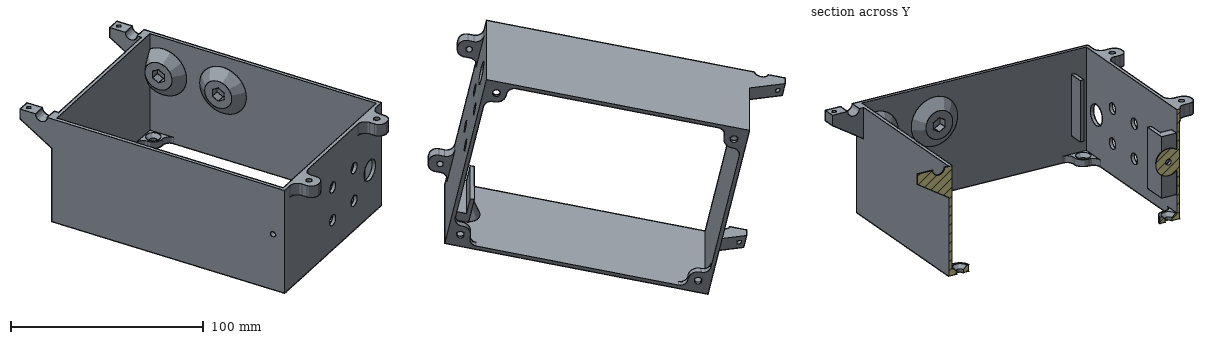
import cadquery as cq
import math

BOX_LENGTH = 140.0
BOX_WIDTH = 100.0
BOX_HEIGHT = 63.0
WALL = 2.0
INNER_RIGHT = BOX_LENGTH - WALL
INNER_BACK = BOX_WIDTH - WALL

ARM_LENGTH = 19.0
ARM_WIDTH = 7.4
ARM_TIP_HEIGHT = 6.0
ARM_ROOT_HEIGHT = 18.0
ARM_NOTCH_DIAMETER = 7.0
ARM_NOTCH_FROM_TIP = 12.8
ARM_HOLE_DIAMETER = 2.4
ARM_HOLE_FROM_TIP = 3.2

TAB_REACH = 12.0
TAB_WIDTH = 10.0
TAB_CORNER_RADIUS = 4.5
TAB_FILLET = 4.5
TAB_HEIGHT = 7.0
TAB_EDGE_DISTANCE = 15.0
TAB_HOLE_DIAMETER = 3.2
TAB_HOLE_REACH = 5.8

LUG_RADIUS = 5.3
LUG_INSET = 4.8
LUG_FILLET = 4.1
LUG_HEIGHT = 4.0
LUG_HOLE_DIAMETER = 4.0
LUG_SINK_DIAMETER = 8.0

BACK_BOSS_HEIGHT = 5.0
BACK_BOSS_BASE_DIAMETER = 28.0
BACK_BOSS_TIP_DIAMETER = 16.2
BACK_BOSS_XS = (10.1, 46.0)
BACK_BOSS_Z = 42.0
NUT_CORNER_DIAMETER = 8.0
FRONT_BOSS_BASE_DIAMETER = 22.5
FRONT_BOSS_TIP_DIAMETER = 13.2
FRONT_BOSS_HEIGHT = 6.7
FRONT_BOSS_X = BOX_LENGTH - 7.0
FRONT_BOSS_Z = 34.0
FRONT_HOLE_DIAMETER = 3.0

GUIDE_THICKNESS = 2.2
GUIDE_SLOT = 6.8
GUIDE_LIP = 9.0
GUIDE_BOTTOM = 14.4
GUIDE_HEIGHT = 35.0
GUIDE_BLOCK_WIDTH = 5.0
GUIDE_BLOCK_GAP = 5.0

PORT_DIAMETER = 12.0
PORT_Y = 87.9
PORT_Z = 28.0
PANEL_HOLE_DIAMETER = 6.2
PANEL_HOLE_PITCH_Y = 22.0
PANEL_HOLE_PITCH_Z = 20.0
PANEL_HOLES_MIDDLE_Y = 60.7


def box_between(x0, x1, y0, y1, z0, z1):
    return cq.Workplane("XY").box(x1 - x0, y1 - y0, z1 - z0, centered=False).translate((x0, y0, z0))


def cylinder(point, direction, diameter, length):
    return cq.Workplane(cq.Solid.makeCylinder(diameter / 2, length, cq.Vector(*point), cq.Vector(*direction)))


def cone(point, direction, start_diameter, end_diameter, length):
    return cq.Workplane(
        cq.Solid.makeCone(start_diameter / 2, end_diameter / 2, length, cq.Vector(*point), cq.Vector(*direction))
    )


def hook_arm(y_front):
    tip_x = -ARM_LENGTH
    arm = (
        cq.Workplane("XZ", origin=(0, y_front + ARM_WIDTH, 0))
        .polyline([
            (0, BOX_HEIGHT),
            (tip_x, BOX_HEIGHT),
            (tip_x, BOX_HEIGHT - ARM_TIP_HEIGHT),
            (0, BOX_HEIGHT - ARM_ROOT_HEIGHT),
        ])
        .close()
        .extrude(ARM_WIDTH)
    )
    notch_start = (tip_x + ARM_NOTCH_FROM_TIP, y_front, BOX_HEIGHT)
    notch = cylinder(notch_start, (0, 1, 0), ARM_NOTCH_DIAMETER, ARM_WIDTH)
    hole_start = (tip_x + ARM_HOLE_FROM_TIP, y_front + ARM_WIDTH / 2, BOX_HEIGHT - ARM_ROOT_HEIGHT)
    hole = cylinder(hole_start, (0, 0, 1), ARM_HOLE_DIAMETER, ARM_ROOT_HEIGHT)
    return arm.cut(notch).cut(hole)


def screw_tab(y):
    half_width = TAB_WIDTH / 2
    wall_half_width = half_width + TAB_FILLET
    tab = (
        cq.Workplane("XY", origin=(BOX_LENGTH, y, BOX_HEIGHT - TAB_HEIGHT))
        .moveTo(0, -wall_half_width)
        .radiusArc((TAB_FILLET, -half_width), TAB_FILLET)
        .lineTo(TAB_REACH, -half_width)
        .lineTo(TAB_REACH, half_width)
        .lineTo(TAB_FILLET, half_width)
        .radiusArc((0, wall_half_width), TAB_FILLET)
        .close()
        .extrude(TAB_HEIGHT)
        .edges("|Z and >X")
        .fillet(TAB_CORNER_RADIUS)
    )
    hole_start = (BOX_LENGTH + TAB_HOLE_REACH, y, BOX_HEIGHT - TAB_HEIGHT)
    return tab.cut(cylinder(hole_start, (0, 0, 1), TAB_HOLE_DIAMETER, TAB_HEIGHT))


def corner_lug():
    fillet_rise = LUG_FILLET - LUG_INSET
    center_distance = LUG_RADIUS + LUG_FILLET
    fillet_run = math.sqrt(center_distance**2 - fillet_rise**2)
    wall_reach = LUG_INSET + fillet_run
    nose_share = LUG_RADIUS / center_distance
    tangent_far = LUG_INSET + nose_share * fillet_run
    tangent_near = LUG_INSET + nose_share * fillet_rise
    nose_middle = LUG_INSET + LUG_RADIUS * math.sqrt(0.5)
    lug = (
        cq.Workplane("XY")
        .lineTo(wall_reach, 0)
        .radiusArc((tangent_far, tangent_near), LUG_FILLET)
        .threePointArc((nose_middle, nose_middle), (tangent_near, tangent_far))
        .radiusArc((0, wall_reach), LUG_FILLET)
        .close()
        .extrude(LUG_HEIGHT)
    )
    sink_depth = (LUG_SINK_DIAMETER - LUG_HOLE_DIAMETER) / 2
    hole = cylinder((LUG_INSET, LUG_INSET, 0), (0, 0, 1), LUG_HOLE_DIAMETER, LUG_HEIGHT)
    sink_top = (LUG_INSET, LUG_INSET, LUG_HEIGHT)
    sink = cone(sink_top, (0, 0, -1), LUG_SINK_DIAMETER, LUG_HOLE_DIAMETER, sink_depth)
    return lug.cut(hole).cut(sink).translate((WALL, WALL, 0))


outer = box_between(0, BOX_LENGTH, 0, BOX_WIDTH, 0, BOX_HEIGHT)
cavity = box_between(WALL, INNER_RIGHT, WALL, INNER_BACK, 0, BOX_HEIGHT)
result = outer.cut(cavity)

middle = (BOX_LENGTH / 2, BOX_WIDTH / 2, 0)
left_lugs = corner_lug().union(corner_lug().mirror("XZ", middle))
result = result.union(left_lugs).union(left_lugs.mirror("YZ", middle))

for x in BACK_BOSS_XS:
    base = (x, INNER_BACK, BACK_BOSS_Z)
    boss = cone(base, (0, -1, 0), BACK_BOSS_BASE_DIAMETER, BACK_BOSS_TIP_DIAMETER, BACK_BOSS_HEIGHT)
    pocket = (
        cq.Workplane("XZ", origin=base)
        .transformed(rotate=(0, 0, 90))
        .polygon(6, NUT_CORNER_DIAMETER)
        .extrude(BACK_BOSS_HEIGHT)
    )
    result = result.union(boss.intersect(cavity)).cut(pocket)

boss = cone(
    (FRONT_BOSS_X, WALL, FRONT_BOSS_Z), (0, 1, 0),
    FRONT_BOSS_BASE_DIAMETER, FRONT_BOSS_TIP_DIAMETER, FRONT_BOSS_HEIGHT,
)
result = result.union(boss.intersect(cavity))

guide_left = INNER_RIGHT - GUIDE_SLOT - GUIDE_THICKNESS
guide_top = GUIDE_BOTTOM + GUIDE_HEIGHT
lip_right = guide_left + GUIDE_THICKNESS
block_front = WALL + GUIDE_BLOCK_GAP
block_back = block_front + GUIDE_BLOCK_WIDTH
back_lip = box_between(guide_left, lip_right, INNER_BACK - GUIDE_LIP, INNER_BACK, GUIDE_BOTTOM, guide_top)
post = box_between(guide_left, INNER_RIGHT, block_front, block_back, GUIDE_BOTTOM, guide_top)
post_lip = box_between(guide_left, lip_right, block_back, block_back + GUIDE_LIP, GUIDE_BOTTOM, guide_top)
result = result.union(back_lip).union(post).union(post_lip)

front_hole = cylinder(
    (FRONT_BOSS_X, 0, FRONT_BOSS_Z), (0, 1, 0), FRONT_HOLE_DIAMETER, WALL + FRONT_BOSS_HEIGHT
)
result = result.cut(front_hole)

for y in (0, BOX_WIDTH - ARM_WIDTH):
    result = result.union(hook_arm(y))
for y in (TAB_EDGE_DISTANCE, BOX_WIDTH - TAB_EDGE_DISTANCE):
    result = result.union(screw_tab(y))

result = result.cut(cylinder((INNER_RIGHT, PORT_Y, PORT_Z), (1, 0, 0), PORT_DIAMETER, WALL))
for side_y in (-0.5, 0.5):
    for side_z in (-0.5, 0.5):
        hole_y = PANEL_HOLES_MIDDLE_Y + side_y * PANEL_HOLE_PITCH_Y
        hole_z = PORT_Z + side_z * PANEL_HOLE_PITCH_Z
        result = result.cut(cylinder((INNER_RIGHT, hole_y, hole_z), (1, 0, 0), PANEL_HOLE_DIAMETER, WALL))